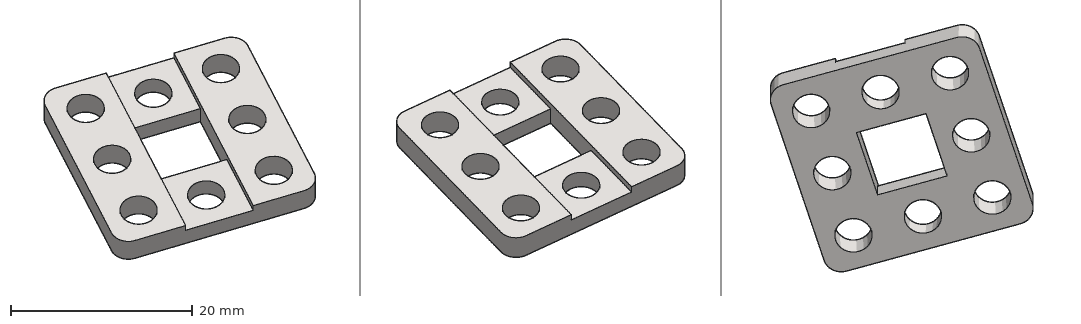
import cadquery as cq

side = 24.0
thickness = 3.0
corner_radius = 2.0
hole_diameter = 4.1
groove_depth = 0.8

cells_per_side = 3
cell = side / cells_per_side


def rounded_plate():
    plate = cq.Workplane("XY").box(side, side, thickness, centered=(True, True, False))
    return plate.edges("|Z").fillet(corner_radius)


def groove():
    """Shallow channel along X, one cell wide, open at both ends."""
    floor = cq.Workplane("XY").workplane(offset=thickness - groove_depth)
    return floor.rect(side, cell).extrude(groove_depth)


def centre_window():
    return cq.Workplane("XY").rect(cell, cell).extrude(thickness)


def cell_holes():
    """Through holes at every cell centre; the middle one falls inside the window."""
    centres = cq.Workplane("XY").rarray(cell, cell, cells_per_side, cells_per_side)
    return centres.circle(hole_diameter / 2).extrude(thickness)


result = rounded_plate().cut(groove()).cut(centre_window()).cut(cell_holes())